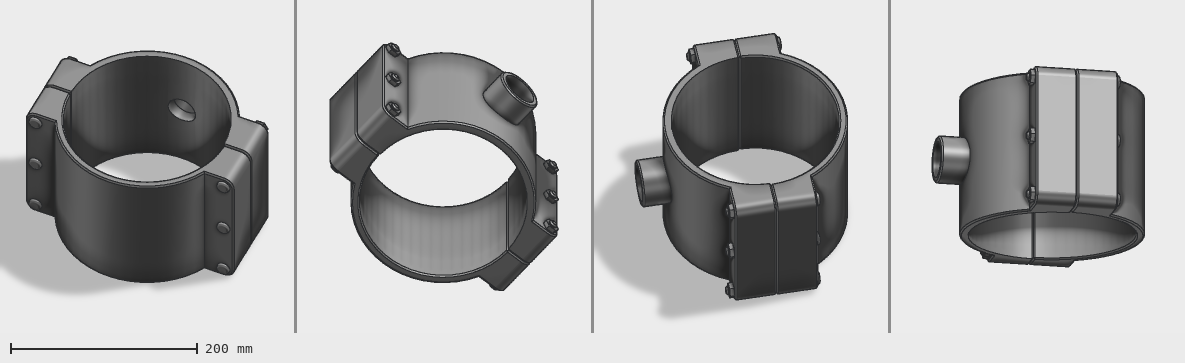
import cadquery as cq
import math

length_x = 245.0
height = 154.0
bore_radius = 90.0
ring_radius = 99.0
lug_depth = 45.0
lug_corner_radius = 12.5
edge_chamfer = 1.7

socket_diameter = 50.7
socket_end_y = 126.7
socket_bore_diameter = 39.0
socket_bore_depth = 24.0
port_diameter = 32.0

shank_diameter = 10.0
head_diameter = 15.0
head_height = 3.7
head_rounding = 3.0
nut_flats = 15.0
nut_height = 5.0
tip_length = 8.0
tip_chamfer = 2.0
bolt_inset = 11.8
bolt_x = length_x / 2 - bolt_inset
bolt_z = height / 2 - bolt_inset

tolerance = 0.02


def clamp_half(side, chamfer_bore_ends):
    """Half ring with two lugs, on the +Y (side = 1) or -Y (side = -1) side of the split plane."""
    half_x = length_x / 2
    junction_x = math.sqrt(ring_radius**2 - lug_depth**2)
    outer_y = side * lug_depth
    half = (
        cq.Workplane("XY", origin=(0, 0, -height / 2))
        .moveTo(-half_x, 0)
        .lineTo(-half_x, outer_y)
        .lineTo(-junction_x, outer_y)
        .threePointArc((0, side * ring_radius), (junction_x, outer_y))
        .lineTo(half_x, outer_y)
        .lineTo(half_x, 0)
        .lineTo(bore_radius, 0)
        .threePointArc((0, side * bore_radius), (-bore_radius, 0))
        .close()
        .extrude(height)
    )
    for end in ("<X", ">X"):
        half = half.faces(end).edges("|Y").fillet(lug_corner_radius)

    def is_chamfered(edge):
        middle = edge.positionAt(0.5)
        on_split = abs(middle.y) < tolerance
        on_lug_face = abs(middle.y - outer_y) < tolerance
        at_junction = abs(abs(middle.x) - junction_x) < tolerance
        on_ring_end = abs(middle.y - side * ring_radius) < tolerance
        on_bore_end = abs(middle.y - side * bore_radius) < tolerance
        if on_bore_end:
            return chamfer_bore_ends
        return on_split or on_ring_end or (on_lug_face and not at_junction)

    chosen = [edge for edge in half.edges().vals() if is_chamfered(edge)]
    return half.newObject(chosen).chamfer(edge_chamfer)


def cylinder_along_y(diameter, start_y, end_y):
    return cq.Workplane("XZ", origin=(0, start_y, 0)).circle(diameter / 2).extrude(start_y - end_y)


def fastener():
    """Bolt along +Y with a rounded head on the -Y lug face and a hexagon nut on the +Y one."""
    head = cylinder_along_y(head_diameter, -lug_depth, -lug_depth - head_height)
    head = head.faces("<Y").fillet(head_rounding)
    shank = cylinder_along_y(shank_diameter, -lug_depth, lug_depth + tip_length)
    shank = shank.faces(">Y").chamfer(tip_chamfer)
    nut_corners = nut_flats / math.cos(math.pi / 6)
    nut = cq.Workplane("XZ", origin=(0, lug_depth, 0)).polygon(6, nut_corners).extrude(-nut_height)
    return shank.union(head).union(nut)


body = clamp_half(1, chamfer_bore_ends=False).union(clamp_half(-1, chamfer_bore_ends=True))

socket = cylinder_along_y(socket_diameter, bore_radius, socket_end_y)
socket = socket.faces(">Y").chamfer(edge_chamfer)
body = body.union(socket)
body = body.cut(cylinder_along_y(port_diameter, 0, socket_end_y))
body = body.cut(cylinder_along_y(socket_bore_diameter, socket_end_y - socket_bore_depth, socket_end_y))

bolt = fastener()
for x in (-bolt_x, bolt_x):
    for z in (-bolt_z, 0, bolt_z):
        body = body.union(bolt.translate((x, 0, z)))

result = body